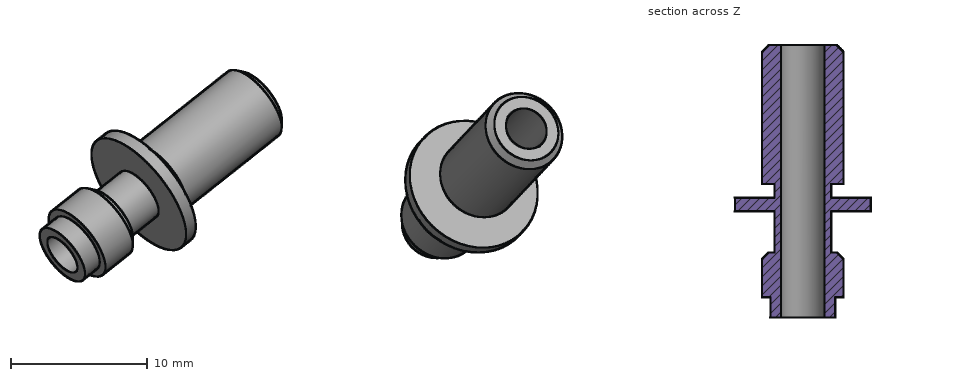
import cadquery as cq

total_length = 20
nose_length = 1.5
collar_length = 3.3
neck_length = 3
flange_thickness = 1
relief_length = 1

nose_diameter = 4.8
body_diameter = 6
neck_diameter = 4.2
flange_diameter = 10
bore_diameter = 3.18

chamfer = 0.5

nose_start = -total_length / 2
collar_start = nose_start + nose_length
neck_start = collar_start + collar_length
flange_start = neck_start + neck_length
relief_start = flange_start + flange_thickness
shank_start = relief_start + relief_length
shank_length = total_length / 2 - shank_start


def cylinder(start, length, diameter):
    """Cylinder about the Y axis, running from start toward +Y."""
    plane = cq.Plane(origin=(0, start, 0), xDir=(1, 0, 0), normal=(0, 1, 0))
    return cq.Workplane(plane).circle(diameter / 2).extrude(length)


def chamfered_cylinder(start, length, diameter):
    """Cylinder about the Y axis with its +Y edge chamfered."""
    return cylinder(start, length, diameter).faces(">Y").edges().chamfer(chamfer)


nose = cylinder(nose_start, nose_length, nose_diameter)
collar = chamfered_cylinder(collar_start, collar_length, body_diameter)
neck = cylinder(neck_start, neck_length, neck_diameter)
flange = cylinder(flange_start, flange_thickness, flange_diameter)
relief = cylinder(relief_start, relief_length, neck_diameter)
shank = chamfered_cylinder(shank_start, shank_length, body_diameter)

bore = cylinder(nose_start, total_length, bore_diameter)

result = nose.union(collar).union(neck).union(flange).union(relief).union(shank).cut(bore)